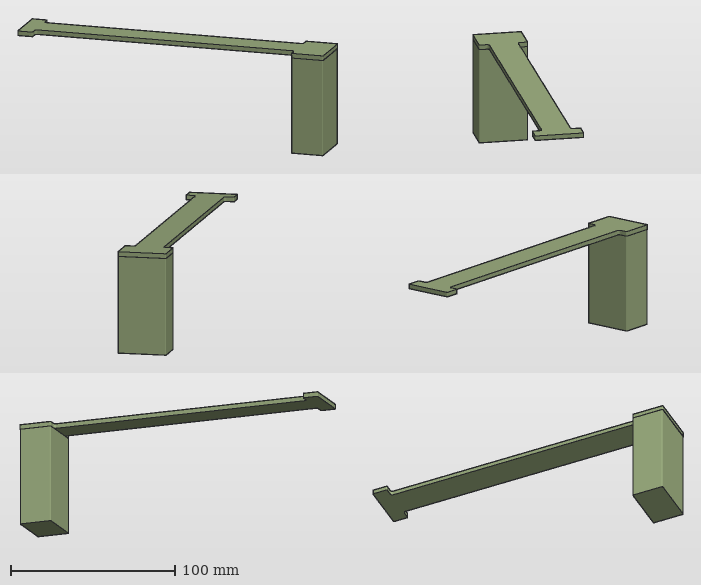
import cadquery as cq

length = 195.0
width = 30.0
plate_thickness = 3.0
tail_length = 9.5
head_length = 20.3
arm_width = 18.0
root_radius = 1.5

block_setback = 0.2
block_height = 60.0

corner_radius = 0.49

head_start = length - head_length
block_length = head_length - block_setback


def rounded_bar(x_start, x_end, z_bottom, height):
    """Full-width rectangular bar between two X positions with rounded vertical edges."""
    return (
        cq.Workplane("XY", origin=((x_start + x_end) / 2, 0, z_bottom))
        .rect(x_end - x_start, width)
        .extrude(height)
        .edges("|Z")
        .fillet(corner_radius)
    )


def make_plate():
    """Flat arm joining a short crosspiece at the tail to a longer head."""
    tail = rounded_bar(0, tail_length, 0, plate_thickness)
    head = rounded_bar(head_start, length, 0, plate_thickness)
    arm_start = tail_length / 2
    arm_end = head_start + head_length / 2
    arm = (
        cq.Workplane("XY", origin=((arm_start + arm_end) / 2, 0, 0))
        .rect(arm_end - arm_start, arm_width)
        .extrude(plate_thickness)
    )
    plate = tail.union(arm).union(head)

    for root_x in (tail_length, head_start):
        for side in (-1, 1):
            root_point = (root_x, side * arm_width / 2, plate_thickness / 2)
            plate = plate.edges(cq.selectors.NearestToPointSelector(root_point)).fillet(root_radius)
    return plate


def make_block():
    """Upright block under the head, flush with its inner end and set back from its outer end."""
    return rounded_bar(head_start, head_start + block_length, -block_height, block_height)


plate = make_plate()
block = make_block()

result = cq.Compound.makeCompound([plate.val(), block.val()])